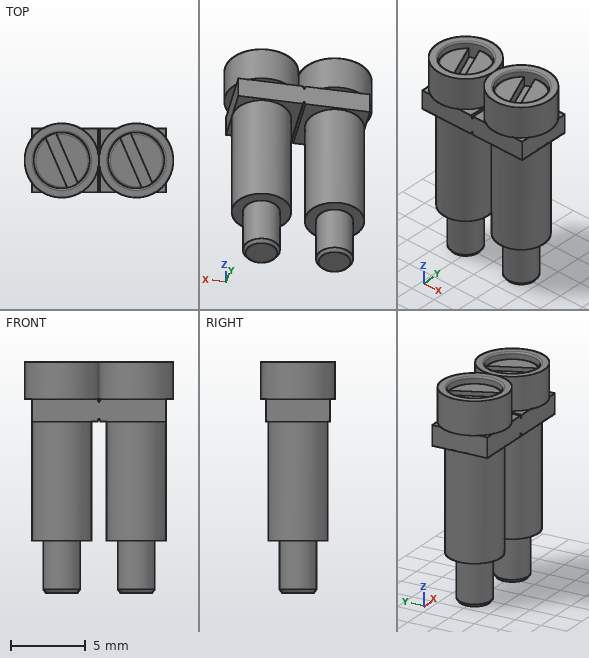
import cadquery as cq


total_height = 15.5
total_length = 10.0
screw_count = 2
pitch = total_length / screw_count

collar_diameter = pitch
collar_height = 2.5
collar_bore_diameter = 3.75
collar_rim_fillet = 0.12

sleeve_diameter = 4.0
sleeve_length = 8.0

plate_length = pitch * (screw_count - 1) + sleeve_diameter
plate_width = 4.3
plate_thickness = 1.5
notch_width = 0.19
notch_depth = 0.2

shank_diameter = 2.5
tip_chamfer_height = 0.25
tip_chamfer_width = 0.19
head_recess = 0.5
head_edge_fillet = 0.12
slot_width = 0.78
slot_depth = 0.78
slot_angle = 113.5

plate_top = total_height - collar_height
plate_bottom = plate_top - plate_thickness
sleeve_bottom = plate_bottom - sleeve_length
head_top = total_height - head_recess

screw_positions = [(i - (screw_count - 1) / 2) * pitch for i in range(screw_count)]


def cylinder(diameter, bottom, top):
    """Upright cylinder on the Z axis between two levels."""
    return cq.Workplane("XY").workplane(offset=bottom).circle(diameter / 2).extrude(top - bottom)


def make_collar():
    """Ring around the screw head, with a rounded rim at the mouth of its bore."""
    ring = cylinder(collar_diameter, plate_top, total_height)
    bored = ring.cut(cylinder(collar_bore_diameter, plate_top, total_height))
    return bored.faces(">Z").edges(cq.selectors.RadiusNthSelector(0)).fillet(collar_rim_fillet)


def make_sleeve():
    """Spacer tube around the shank, below the plate."""
    tube = cylinder(sleeve_diameter, sleeve_bottom, plate_bottom)
    return tube.cut(cylinder(shank_diameter, sleeve_bottom, plate_bottom))


def make_screw():
    """Shank with a chamfered tip, and a round head with a slot right across it."""
    shank = cylinder(shank_diameter, 0, plate_top)
    shank = shank.faces("<Z").chamfer(tip_chamfer_height, tip_chamfer_width)
    head = cylinder(collar_bore_diameter, plate_top, head_top).faces(">Z").fillet(head_edge_fillet)
    slot = (
        cq.Workplane("XY")
        .workplane(offset=head_top - slot_depth)
        .transformed(rotate=(0, 0, slot_angle))
        .rect(collar_bore_diameter, slot_width)
        .extrude(slot_depth)
    )
    return shank.union(head).cut(slot)


def make_notch(level, depth):
    """V-shaped bar across the plate, pointing down from its level, or up if the depth is negative."""
    return (
        cq.Workplane("XZ", origin=(0, plate_width / 2, 0))
        .polyline([(-notch_width / 2, level), (notch_width / 2, level), (0, level - depth)])
        .close()
        .extrude(plate_width)
    )


def make_plate():
    """Bridge plate with a shank hole per screw and breaking notches between the screws."""
    plate = (
        cq.Workplane("XY")
        .workplane(offset=plate_bottom)
        .rect(plate_length, plate_width)
        .extrude(plate_thickness)
    )
    for x in screw_positions:
        plate = plate.cut(cylinder(shank_diameter, plate_bottom, plate_top).translate((x, 0, 0)))
    plate = plate.cut(make_notch(plate_top, notch_depth))
    return plate.cut(make_notch(plate_bottom, -notch_depth))


bodies = [make_plate().val()]
for x in screw_positions:
    for make_body in (make_collar, make_sleeve, make_screw):
        bodies.append(make_body().translate((x, 0, 0)).val())

result = cq.Compound.makeCompound(bodies)